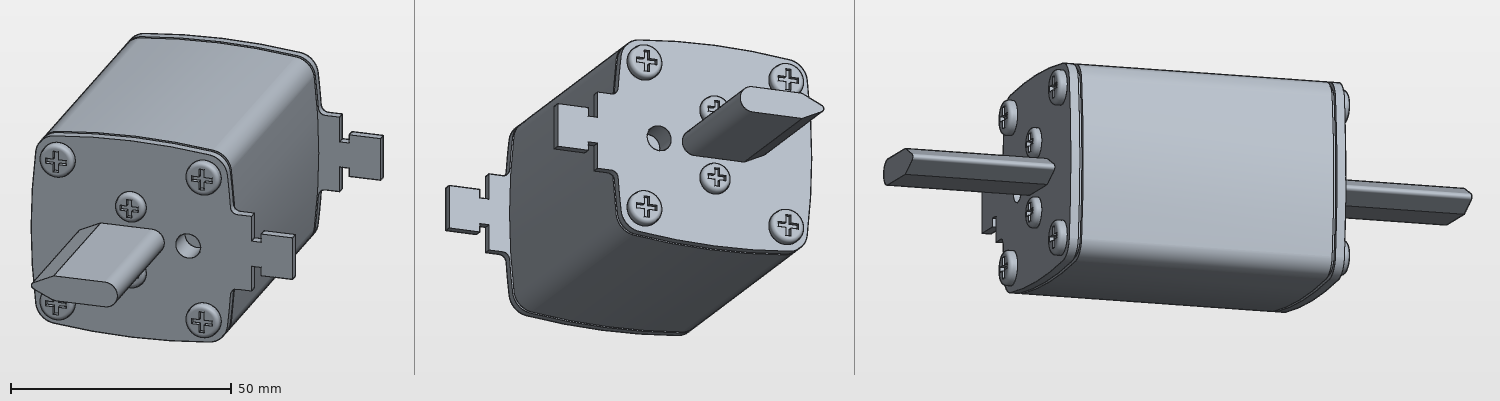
import cadquery as cq

overall_length = 134.0
body_length = 60.0
body_width = 48.0
corner_width = 44.8
corner_radius = 5.0

seal_thickness = 0.8
seal_inset = 1.0
plate_thickness = 2.1
seal_start = body_length / 2
plate_start = seal_start + seal_thickness
plate_face = plate_start + plate_thickness

lug_shoulder_x = 28.7
lug_shoulder_width = 18.2
lug_neck_end_x = 31.0
lug_neck_width = 6.2
lug_head_end_x = 38.5
lug_head_width = 10.2
lug_root_radius = 1.7

blade_thickness = 6.0
blade_tip_x = -13.8
blade_tip_radius = 0.8
blade_bevel_end_x = -7.4
blade_round_center_x = 4.8

indicator_x = 13.5
indicator_diameter = 5.9
indicator_depth = 6.7

corner_head_rounding = 1.0
center_head_rounding = 1.1
slot_width = 1.2
slot_depth = 1.1
corner_screw_offset = 17.4
corner_head_diameter = 8.0
corner_head_height = 2.0
corner_slot_length = 5.0
center_screw_offset = 8.0
center_head_diameter = 7.1
center_head_height = 1.7
center_slot_length = 4.3


def plane_at(y):
    """Sketch plane at a given Y, facing +Y; its local x runs toward -X."""
    return cq.Workplane(cq.Plane(origin=(0, y, 0), xDir=(-1, 0, 0), normal=(0, 1, 0)))


def bowed_block(start, length, inset=0.0):
    """Square block with four bowed sides and rounded corners."""
    bow = body_width / 2 - inset
    corner = corner_width / 2 - inset
    return (
        plane_at(start)
        .moveTo(-corner, -corner)
        .threePointArc((0, -bow), (corner, -corner))
        .threePointArc((bow, 0), (corner, corner))
        .threePointArc((0, bow), (-corner, corner))
        .threePointArc((-bow, 0), (-corner, -corner))
        .close()
        .extrude(length)
        .edges("|Y")
        .fillet(corner_radius - inset)
    )


def lug_step(x_start, x_end, width):
    """Plate-thick rectangle of the lug, centred on Z and spanning an X range."""
    middle_x = (x_start + x_end) / 2
    step = plane_at(plate_start).rect(x_end - x_start, width).extrude(plate_thickness)
    return step.translate((middle_x, 0, 0))


def end_plate():
    """Bowed end plate with its stepped pulling lug."""
    plate = bowed_block(plate_start, plate_thickness).union(lug_step(0, lug_shoulder_x, lug_shoulder_width))
    lug_roots = cq.selectors.BoxSelector(
        (corner_width / 2, plate_start, -corner_screw_offset),
        (body_width / 2, plate_face, corner_screw_offset),
    )
    plate = plate.edges("|Y").edges(lug_roots).fillet(lug_root_radius)
    neck = lug_step(0, lug_neck_end_x, lug_neck_width)
    head = lug_step(lug_neck_end_x, lug_head_end_x, lug_head_width)
    return plate.union(neck).union(head)


def blade():
    """Contact blade running the full length of the fuse."""
    half = blade_thickness / 2
    return (
        cq.Workplane("XZ", origin=(0, overall_length / 2, 0))
        .moveTo(blade_tip_x, 0)
        .lineTo(blade_bevel_end_x, half)
        .lineTo(blade_round_center_x, half)
        .threePointArc((blade_round_center_x + half, 0), (blade_round_center_x, -half))
        .lineTo(blade_bevel_end_x, -half)
        .close()
        .extrude(overall_length)
        .edges("|Y and <X")
        .fillet(blade_tip_radius)
    )


def screw_head(diameter, height, rounding, slot_length):
    """Rounded screw head on the plate face with a cross recess, centred on the Y axis."""
    head = plane_at(plate_face).circle(diameter / 2).extrude(height).faces(">Y").edges().fillet(rounding)
    recess_plane = plane_at(plate_face + height - slot_depth)
    recess = recess_plane.rect(slot_length, slot_width).extrude(slot_depth)
    recess = recess.union(recess_plane.rect(slot_width, slot_length).extrude(slot_depth))
    return head.cut(recess)


def end_assembly():
    """Seal, plate and screws of the +Y end."""
    end = bowed_block(seal_start, seal_thickness, seal_inset).union(end_plate())
    corner_head = screw_head(
        corner_head_diameter, corner_head_height, corner_head_rounding, corner_slot_length
    )
    center_head = screw_head(
        center_head_diameter, center_head_height, center_head_rounding, center_slot_length
    )
    for z_side in (-1, 1):
        end = end.union(center_head.translate((0, 0, z_side * center_screw_offset)))
        for x_side in (-1, 1):
            corner_place = (x_side * corner_screw_offset, 0, z_side * corner_screw_offset)
            end = end.union(corner_head.translate(corner_place))
    return end


def indicator_hole():
    """Cutter for the blind indicator hole of the +Y end."""
    return (
        plane_at(plate_face - indicator_depth)
        .circle(indicator_diameter / 2)
        .extrude(indicator_depth)
        .translate((indicator_x, 0, 0))
    )


body = bowed_block(-body_length / 2, body_length)
end = end_assembly()
hole = indicator_hole()
result = (
    body.union(end)
    .union(end.mirror("XZ"))
    .union(blade())
    .cut(hole)
    .cut(hole.mirror("XZ"))
)